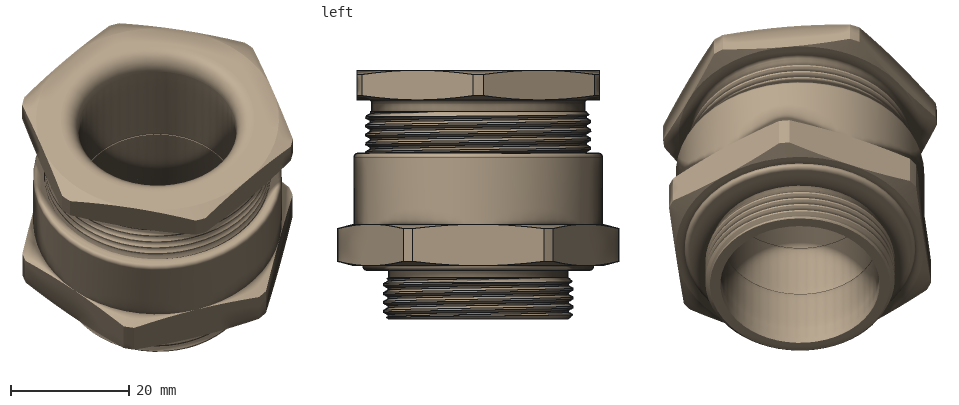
import cadquery as cq
import math


pitch = 1.5
thread_depth = 0.75
thread_end_chamfer = 0.8
flank_angle = 30.0
flank_height = thread_depth * math.tan(math.radians(flank_angle))
groove_root_width = pitch / 2 - flank_height
groove_overcut = 0.2

corner_truncation = 1.0
hex_chamfer_angle = 15.0

body_diameter = 42.0
body_top_fillet = 0.7
body_hex_flats = 42.0
passage_diameter = 26.9
connection_crest_diameter = 32.0
connection_neck_diameter = 30.3
connection_thread_length = 7.0
connection_crest_at_x = 0.93
hex_bottom = 9.0
hex_top = 16.0
body_top = 28.0

gasket_diameter = 39.0
gasket_thickness = 0.8

overall_height = 42.0
screw_hex_flats = 41.0
screw_hex_height = 5.0
screw_bore = 26.7
mouth_fillet = 3.0
screw_crest_diameter = 38.0
screw_thread_clearance = 0.4
screw_neck_diameter = 36.0
screw_neck_length = 2.0
screw_neck_fillet = 0.5
screw_bottom = 23.4
screw_crest_at_x = 33.71
screw_hex_bottom = overall_height - screw_hex_height
screw_thread_top = screw_hex_bottom - screw_neck_length

seal_diameter = 36.5
seal_bore = 26.7
washer_bore = 26.9
washer_thickness = 0.4
seal_bottom = 12.0
seal_top = screw_bottom - washer_thickness


def cylinder(diameter, bottom, top):
    return cq.Workplane("XY", origin=(0, 0, bottom)).circle(diameter / 2).extrude(top - bottom)


def ring(outer, inner, bottom, top):
    section = cq.Workplane("XY", origin=(0, 0, bottom)).circle(outer / 2).circle(inner / 2)
    return section.extrude(top - bottom)


def hexagon(flats, bottom, top, turn):
    """Hexagon turned round at its corners, with both faces chamfered down to the inscribed circle."""
    corners = flats / math.cos(math.pi / 6)
    radius = (corners - corner_truncation) / 2
    drop = (radius - flats / 2) * math.tan(math.radians(hex_chamfer_angle))
    prism = cq.Workplane("XY", origin=(0, 0, bottom)).polygon(6, corners).extrude(top - bottom)
    prism = prism.rotate((0, 0, 0), (0, 0, 1), turn)
    envelope = (
        cq.Workplane("XZ")
        .moveTo(0, bottom)
        .lineTo(flats / 2, bottom)
        .lineTo(radius, bottom + drop)
        .lineTo(radius, top - drop)
        .lineTo(flats / 2, top)
        .lineTo(0, top)
        .close()
        .revolve(360, (0, 0, 0), (0, 1, 0))
    )
    return prism.intersect(envelope)


def thread_groove(crest_diameter, crest_at_x, bottom, top):
    """Right-hand helical groove that runs past both bottom and top."""
    crest = crest_diameter / 2
    root = crest - thread_depth
    outside = crest + groove_overcut
    root_half = groove_root_width / 2
    outside_half = root_half + (outside - root) * math.tan(math.radians(flank_angle))
    groove_at_x = crest_at_x + pitch / 2
    start = groove_at_x + pitch * (math.floor((bottom - groove_at_x) / pitch) - 1)
    turns = math.ceil((top - start) / pitch) + 1
    helix = cq.Wire.makeHelix(pitch, turns * pitch, root, center=cq.Vector(0, 0, start))
    profile = cq.Workplane("XZ").polyline([
        (root, start - root_half),
        (outside, start - outside_half),
        (outside, start + outside_half),
        (root, start + root_half),
    ]).close()
    return profile.sweep(cq.Workplane(obj=helix), isFrenet=True)


def threaded_sleeve(crest_diameter, bore, crest_at_x, bottom, top):
    """Tube with an external thread, both ends chamfered to just below the thread root."""
    spare = 3 * pitch
    sleeve = ring(crest_diameter, bore, bottom - spare, top + spare)
    sleeve = sleeve.cut(thread_groove(crest_diameter, crest_at_x, bottom, top))
    envelope = cylinder(crest_diameter + groove_overcut, bottom, top)
    envelope = envelope.edges("%CIRCLE").chamfer(thread_end_chamfer + groove_overcut / 2)
    return sleeve.intersect(envelope)


def make_body():
    barrel = cylinder(body_diameter, hex_top, body_top).faces(">Z").edges().fillet(body_top_fillet)
    neck = cylinder(connection_neck_diameter, connection_thread_length, hex_bottom)
    thread = threaded_sleeve(
        connection_crest_diameter, passage_diameter, connection_crest_at_x, 0, connection_thread_length
    )
    return (
        hexagon(body_hex_flats, hex_bottom, hex_top, 90)
        .union(barrel)
        .union(neck)
        .cut(cylinder(screw_crest_diameter + screw_thread_clearance, screw_bottom, body_top))
        .cut(cylinder(seal_diameter, seal_bottom, screw_bottom))
        .cut(cylinder(passage_diameter, connection_thread_length, seal_bottom))
        .union(thread)
    )


def make_gasket():
    bore = connection_neck_diameter / 2
    rim = gasket_diameter / 2
    underside = hex_bottom - gasket_thickness
    return (
        cq.Workplane("XZ")
        .moveTo(bore, hex_bottom)
        .lineTo(bore, underside)
        .lineTo(rim - gasket_thickness, underside)
        .radiusArc((rim, hex_bottom), -gasket_thickness)
        .close()
        .revolve(360, (0, 0, 0), (0, 1, 0))
    )


def make_screw():
    neck_flare = screw_neck_diameter / 2 + screw_neck_fillet
    neck = (
        cq.Workplane("XZ")
        .moveTo(0, screw_thread_top)
        .lineTo(screw_neck_diameter / 2, screw_thread_top)
        .lineTo(screw_neck_diameter / 2, screw_hex_bottom - screw_neck_fillet)
        .radiusArc((neck_flare, screw_hex_bottom), screw_neck_fillet)
        .lineTo(0, screw_hex_bottom)
        .close()
        .revolve(360, (0, 0, 0), (0, 1, 0))
    )
    head = hexagon(screw_hex_flats, screw_hex_bottom, overall_height, 0)
    screw = head.union(neck).cut(cylinder(screw_bore, screw_thread_top, overall_height))
    screw = screw.faces(">Z").edges(cq.selectors.RadiusNthSelector(0)).fillet(mouth_fillet)
    thread = threaded_sleeve(
        screw_crest_diameter, screw_bore, screw_crest_at_x, screw_bottom, screw_thread_top
    )
    return screw.union(thread)


body = make_body()
gasket = make_gasket()
screw = make_screw()
washer = ring(seal_diameter, washer_bore, seal_top, screw_bottom)
seal = ring(seal_diameter, seal_bore, seal_bottom, seal_top)

result = cq.Compound.makeCompound([body.val(), gasket.val(), screw.val(), washer.val(), seal.val()])